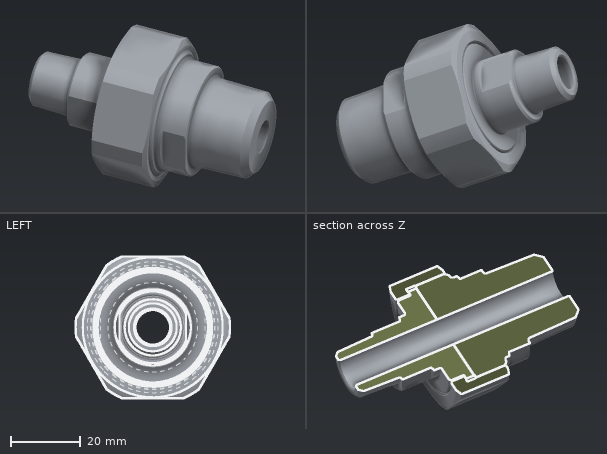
import cadquery as cq
import math


overall_length = 70.0
bore_radius = 10.0 / 2
bore_chamfer = 0.4

nut_start = 24.9
nut_end = 42.0
nut_across_flats = 41.0
nut_corner_radius = 22.3
nut_face_radius = 20.2
nut_bevel_length = 0.7
nut_lip_radius = 33.5 / 2
nut_lip_chamfer = 0.4
nut_thread_radius = 37.9 / 2

lip_end = 29.4
joint_x = 32.2

tail_tip_radius = 6.9
tail_tip_chamfer_length = 1.1
tail_thread_small_radius = 8.1
tail_thread_large_radius = 8.55
tail_body_start = 12.95
tail_thread_fillet = 0.455
tail_body_radius = 22.0 / 2
tail_body_chamfer = 0.6
tail_root_fillet = 0.4
tail_collar_radius = 33.0 / 2
tail_collar_chamfer = 0.55
tail_flange_radius = 36.0 / 2
tail_flat_distance = 9.625
tail_flat_end = 22.4

socket_flange_end = 42.8
socket_flange_chamfer = 1.1
socket_body_radius = 33.0 / 2
socket_body_end = 51.95
socket_root_fillet = 0.85
socket_body_chamfer = 0.4
socket_thread_large_radius = 13.4
socket_thread_small_radius = 12.95
socket_thread_fillet = 0.85
socket_tip_radius = 10.85
socket_tip_chamfer_length = 2.0
socket_flat_distance = 15.1
socket_flat_start = 44.95

flat_wall_angle = math.radians(15)
cutter_clearance = 0.7


def concave_mid(corner_x, corner_r, radius, x_side):
    """Middle of a quarter-round fillet at an inside corner; x_side is its direction along X."""
    offset = radius * (1 - math.sqrt(0.5))
    return corner_x + x_side * offset, corner_r + offset


def revolve_about_x(profile):
    return profile.close().revolve(360, (0, 0, 0), (1, 0, 0))


def wrench_flat_cutter(flat_distance, end_x, wall_x, outer_radius):
    """Removes material beyond both +Y and -Y flats, from end_x to a leaning wall at wall_x."""
    clear_distance = outer_radius + cutter_clearance
    lean = (clear_distance - flat_distance) * math.tan(flat_wall_angle)
    lean_direction = math.copysign(1, wall_x - end_x)
    one_side = (
        cq.Workplane("XY")
        .moveTo(end_x, flat_distance)
        .lineTo(wall_x, flat_distance)
        .lineTo(wall_x + lean_direction * lean, clear_distance)
        .lineTo(end_x, clear_distance)
        .close()
        .extrude(outer_radius, both=True)
    )
    return one_side.union(one_side.mirror("XZ"))


def make_tailpiece():
    body_chamfer_end = tail_body_start + tail_body_chamfer
    profile = (
        cq.Workplane("XY")
        .moveTo(0, bore_radius + bore_chamfer)
        .lineTo(0, tail_tip_radius)
        .lineTo(tail_tip_chamfer_length, tail_thread_small_radius)
        .lineTo(tail_body_start - tail_thread_fillet, tail_thread_large_radius)
        .threePointArc(
            concave_mid(tail_body_start, tail_thread_large_radius, tail_thread_fillet, -1),
            (tail_body_start, tail_thread_large_radius + tail_thread_fillet),
        )
        .lineTo(tail_body_start, tail_body_radius - tail_body_chamfer)
        .lineTo(body_chamfer_end, tail_body_radius)
        .lineTo(nut_start - tail_root_fillet, tail_body_radius)
        .threePointArc(
            concave_mid(nut_start, tail_body_radius, tail_root_fillet, -1),
            (nut_start, tail_body_radius + tail_root_fillet),
        )
        .lineTo(nut_start, tail_collar_radius - tail_collar_chamfer)
        .lineTo(nut_start + tail_collar_chamfer, tail_collar_radius)
        .lineTo(lip_end, tail_collar_radius)
        .lineTo(lip_end, tail_flange_radius)
        .lineTo(joint_x, tail_flange_radius)
        .lineTo(joint_x, bore_radius)
        .lineTo(bore_chamfer, bore_radius)
    )
    flats = wrench_flat_cutter(tail_flat_distance, tail_body_start, tail_flat_end, tail_body_radius)
    return revolve_about_x(profile).cut(flats).solids()


def make_socket_piece():
    tip_chamfer_start = overall_length - socket_tip_chamfer_length
    profile = (
        cq.Workplane("XY")
        .moveTo(joint_x, bore_radius)
        .lineTo(joint_x, nut_thread_radius)
        .lineTo(socket_flange_end - socket_flange_chamfer, nut_thread_radius)
        .lineTo(socket_flange_end, nut_thread_radius - socket_flange_chamfer)
        .lineTo(socket_flange_end, socket_body_radius + socket_root_fillet)
        .threePointArc(
            concave_mid(socket_flange_end, socket_body_radius, socket_root_fillet, 1),
            (socket_flange_end + socket_root_fillet, socket_body_radius),
        )
        .lineTo(socket_body_end - socket_body_chamfer, socket_body_radius)
        .lineTo(socket_body_end, socket_body_radius - socket_body_chamfer)
        .lineTo(socket_body_end, socket_thread_large_radius + socket_thread_fillet)
        .threePointArc(
            concave_mid(socket_body_end, socket_thread_large_radius, socket_thread_fillet, 1),
            (socket_body_end + socket_thread_fillet, socket_thread_large_radius),
        )
        .lineTo(tip_chamfer_start, socket_thread_small_radius)
        .lineTo(overall_length, socket_tip_radius)
        .lineTo(overall_length, bore_radius)
    )
    flats = wrench_flat_cutter(
        socket_flat_distance, socket_body_end, socket_flat_start, socket_body_radius
    )
    return revolve_about_x(profile).cut(flats).solids()


def make_nut():
    profile = (
        cq.Workplane("XY")
        .moveTo(nut_start, nut_lip_radius + nut_lip_chamfer)
        .lineTo(nut_start, nut_face_radius)
        .lineTo(nut_start + nut_bevel_length, nut_corner_radius)
        .lineTo(nut_end - nut_bevel_length, nut_corner_radius)
        .lineTo(nut_end, nut_face_radius)
        .lineTo(nut_end, nut_thread_radius)
        .lineTo(lip_end, nut_thread_radius)
        .lineTo(lip_end, nut_lip_radius)
        .lineTo(nut_start + nut_lip_chamfer, nut_lip_radius)
    )
    across_corners = nut_across_flats / math.cos(math.pi / 6)
    hexagon = (
        cq.Workplane("YZ", origin=(nut_start, 0, 0))
        .polygon(6, across_corners)
        .extrude(nut_end - nut_start)
    )
    return revolve_about_x(profile).intersect(hexagon).solids()


tailpiece = make_tailpiece()
socket_piece = make_socket_piece()
nut = make_nut()

result = cq.Compound.makeCompound([tailpiece.val(), socket_piece.val(), nut.val()])